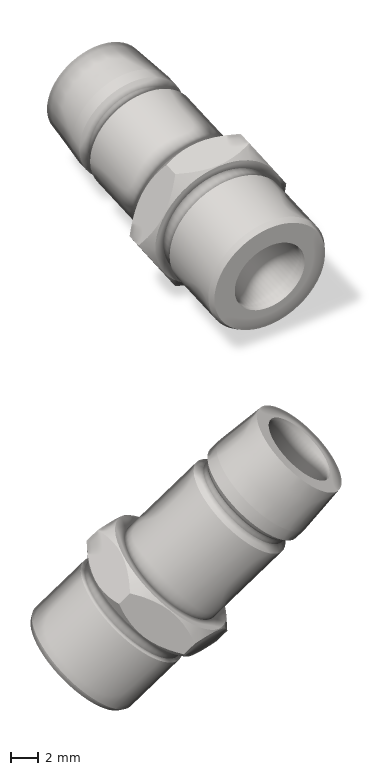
import cadquery as cq
import math

TOTAL_LENGTH = 24.0
NOSE_LENGTH = 4.0
GROOVE_START = 5.0
GROOVE_FLOOR_WIDTH = 0.5
HEX_START = 14.0
HEX_WIDTH = 3.0
COLLAR_START = 18.1

BORE_RADIUS = 3.0
BODY_RADIUS = 4.5
GROOVE_RADIUS = 4.0
NECK_RADIUS = 4.75
COLLAR_RADIUS = 5.0

NOSE_TAPER_ANGLE = 5.0
COLLAR_CHAMFER_ANGLE = 30.0

HEX_ACROSS_FLATS = 11.0
HEX_ACROSS_CORNERS = HEX_ACROSS_FLATS / math.cos(math.pi / 6)
HEX_FACE_RADIUS = 5.45

NOSE_TIP_RADIUS = BODY_RADIUS - NOSE_LENGTH * math.tan(math.radians(NOSE_TAPER_ANGLE))
COLLAR_STEP = COLLAR_RADIUS - NECK_RADIUS
COLLAR_INNER_CHAMFER = COLLAR_STEP * math.tan(math.radians(COLLAR_CHAMFER_ANGLE))
COLLAR_END_CHAMFER = COLLAR_STEP / math.tan(math.radians(COLLAR_CHAMFER_ANGLE))
HEX_END = HEX_START + HEX_WIDTH
GROOVE_WALL = BODY_RADIUS - GROOVE_RADIUS
GROOVE_FLOOR_START = GROOVE_START + GROOVE_WALL
GROOVE_FLOOR_END = GROOVE_FLOOR_START + GROOVE_FLOOR_WIDTH
GROOVE_END = GROOVE_FLOOR_END + GROOVE_WALL


def revolve_about_x(profile):
    """Close a profile drawn as (x, radius) and revolve it fully about the X axis."""
    return profile.close().revolve(360, (0, 0, 0), (1, 0, 0))


def make_tail():
    """Hose-side spigot: tapered nose, slope-sided groove and plain body."""
    profile = (
        cq.Workplane("XZ")
        .moveTo(0, 0)
        .lineTo(0, NOSE_TIP_RADIUS)
        .lineTo(NOSE_LENGTH, BODY_RADIUS)
        .lineTo(GROOVE_START, BODY_RADIUS)
        .lineTo(GROOVE_FLOOR_START, GROOVE_RADIUS)
        .lineTo(GROOVE_FLOOR_END, GROOVE_RADIUS)
        .lineTo(GROOVE_END, BODY_RADIUS)
        .lineTo(HEX_END, BODY_RADIUS)
        .lineTo(HEX_END, 0)
    )
    return revolve_about_x(profile)


def make_collar():
    """Neck behind the hexagon and the larger collar with chamfered edges."""
    profile = (
        cq.Workplane("XZ")
        .moveTo(HEX_START, 0)
        .lineTo(HEX_START, NECK_RADIUS)
        .lineTo(COLLAR_START, NECK_RADIUS)
        .lineTo(COLLAR_START + COLLAR_INNER_CHAMFER, COLLAR_RADIUS)
        .lineTo(TOTAL_LENGTH - COLLAR_END_CHAMFER, COLLAR_RADIUS)
        .lineTo(TOTAL_LENGTH, NECK_RADIUS)
        .lineTo(TOTAL_LENGTH, 0)
    )
    return revolve_about_x(profile)


def make_hexagon():
    """Hexagon with corners on the Y axis, its corners chamfered at both ends."""
    prism = (
        cq.Workplane("YZ", origin=(HEX_START, 0, 0))
        .polygon(6, HEX_ACROSS_CORNERS)
        .extrude(HEX_WIDTH)
    )
    half_width = HEX_WIDTH / 2
    profile = (
        cq.Workplane("XZ")
        .moveTo(HEX_START, 0)
        .lineTo(HEX_START, HEX_FACE_RADIUS)
        .lineTo(HEX_START + half_width, HEX_FACE_RADIUS + half_width)
        .lineTo(HEX_END, HEX_FACE_RADIUS)
        .lineTo(HEX_END, 0)
    )
    return prism.intersect(revolve_about_x(profile))


def make_bore():
    """Straight through bore along the X axis."""
    return cq.Workplane("YZ").circle(BORE_RADIUS).extrude(TOTAL_LENGTH)


result = make_tail().union(make_hexagon()).union(make_collar()).cut(make_bore())